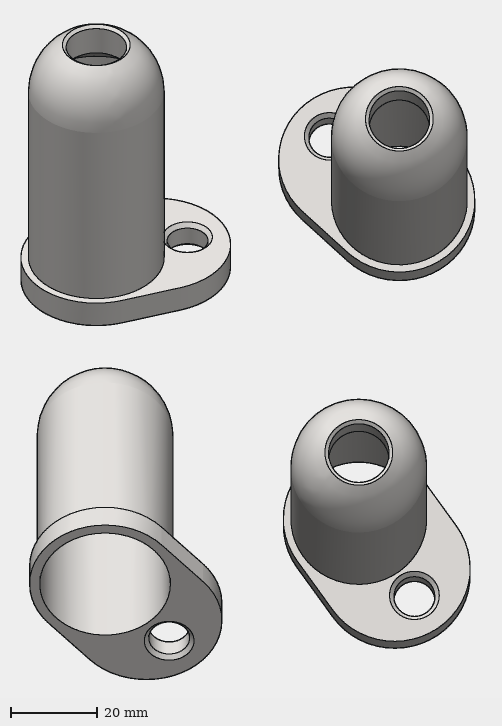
import cadquery as cq
import math

total_height = 68.65
flange_width = 35.0
flange_length = 49.5
flange_thickness = 6.6
end_spacing = flange_length - flange_width

post_radius = 31.5 / 2
dome_base_height = 55.0
dome_rise = total_height - dome_base_height
rim_radius = math.sqrt(post_radius**2 - dome_rise**2)

bore_radius = 14.0 / 2
bore_chamfer_depth = 0.6

cavity_radius = 30.3 / 2
cavity_wall_height = 53.7
bore_bottom = 60.95

mount_hole_y = 22.45
mount_hole_radius = 9.5 / 2
mount_chamfer = 1.0


def make_flange():
    return (
        cq.Workplane("XY")
        .center(0, end_spacing / 2)
        .slot2D(flange_length, flange_width, 90)
        .extrude(flange_thickness)
    )


def make_post():
    """Cylinder from z = 0 with a tangent spherical dome, cut flat at the top."""
    middle_angle = math.asin(dome_rise / post_radius) / 2
    arc_middle = (
        post_radius * math.cos(middle_angle),
        dome_base_height + post_radius * math.sin(middle_angle),
    )
    return (
        cq.Workplane("XZ")
        .lineTo(post_radius, 0)
        .lineTo(post_radius, dome_base_height)
        .threePointArc(arc_middle, (rim_radius, total_height))
        .lineTo(0, total_height)
        .close()
        .revolve(360, (0, 0, 0), (0, 1, 0))
    )


def make_cavity():
    """Cutter for the hollow: a cylinder whose conical roof narrows to the bore."""
    return (
        cq.Workplane("XZ")
        .lineTo(cavity_radius, 0)
        .lineTo(cavity_radius, cavity_wall_height)
        .lineTo(bore_radius, bore_bottom)
        .lineTo(0, bore_bottom)
        .close()
        .revolve(360, (0, 0, 0), (0, 1, 0))
    )


def make_countersink(radius, width, depth, face_height, inward, y=0):
    """Cone widening to a face of the part; inward is +1 or -1 along Z, pointing into the part."""
    return cq.Workplane(
        cq.Solid.makeCone(
            radius + width,
            radius,
            depth,
            pnt=cq.Vector(0, y, face_height),
            dir=cq.Vector(0, 0, inward),
        )
    )


def make_bore():
    bore = cq.Workplane("XY").circle(bore_radius).extrude(total_height)
    rim_width = rim_radius - bore_radius
    return bore.union(make_countersink(bore_radius, rim_width, bore_chamfer_depth, total_height, -1))


def make_mount_hole():
    hole = cq.Workplane("XY").center(0, mount_hole_y).circle(mount_hole_radius).extrude(flange_thickness)
    for face_height, inward in ((0, 1), (flange_thickness, -1)):
        countersink = make_countersink(
            mount_hole_radius, mount_chamfer, mount_chamfer, face_height, inward, mount_hole_y
        )
        hole = hole.union(countersink)
    return hole


result = make_flange().union(make_post())
result = result.cut(make_cavity()).cut(make_bore()).cut(make_mount_hole())